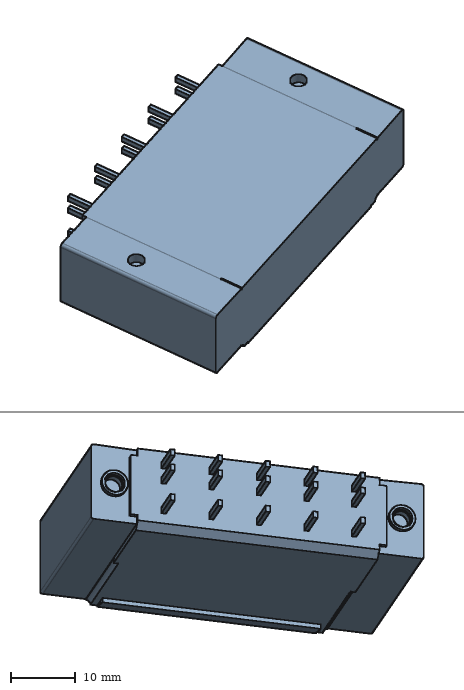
import cadquery as cq


body_length = 29.2
body_half_width = 19.35
body_top = 12.55
body_bottom = -0.85
pin_face_chamfer = 1.2

part_half_width = 26.65
ear_setback = 0.7
ear_top = 12.7
ear_top_fillet = 0.5
ear_bottom_fillet = 0.4

shoulder_half_width = 20.55
shoulder_bottom = 1.25
shoulder_top = 11.3
shoulder_fillet = 0.25

boss_center_y = 23.05
boss_center_z = 6.3
boss_diameter = 4.15
boss_mouth_diameter = 3.2
boss_mouth_depth = 0.7
boss_bore_diameter = 2.65
boss_bore_depth = 2.0
top_hole_x = 12.25
top_hole_diameter = 2.6
top_hole_depth = 1.85

pin_length = 5.05
pin_width = 0.7
pin_height = 1.0
pin_pitch_y = 7.65
pin_columns = 5
pin_row_heights = (2.5, 7.6, 10.15)

latch_length = 2.95
latch_half_width = 17.5
latch_tip = -1.6
latch_heel = -1.05

rail_start = 13.6
rail_radius = 0.75

slot_length = 3.85
slot_width = 0.2
slot_depth = 0.25


def block(x_range, y_range, z_range):
    """Box spanning the given ranges."""
    (x0, x1), (y0, y1), (z0, z1) = x_range, y_range, z_range
    return cq.Workplane("XY").box(x1 - x0, y1 - y0, z1 - z0, centered=False).translate((x0, y0, z0))


def make_body():
    profile = [
        (0, body_top),
        (body_length, body_top),
        (body_length, body_bottom),
        (pin_face_chamfer, body_bottom),
        (0, body_bottom + pin_face_chamfer),
    ]
    return cq.Workplane("XZ").polyline(profile).close().extrude(body_half_width, both=True)


def make_ear():
    """Ear on the +Y side; its top falls slightly from the outer edge to the body."""
    profile = [
        (body_half_width, 0),
        (part_half_width, 0),
        (part_half_width, ear_top),
        (body_half_width, body_top),
    ]
    ear = (
        cq.Workplane("YZ", origin=(ear_setback, 0, 0))
        .polyline(profile)
        .close()
        .extrude(body_length - ear_setback)
    )
    ear = ear.edges("|X and >Y and >Z").fillet(ear_top_fillet)
    return ear.edges("|X and >Y and <Z").fillet(ear_bottom_fillet)


def make_shoulder():
    """Strip on the +Y side that widens the pin face."""
    strip = block(
        (0, ear_setback), (body_half_width, shoulder_half_width), (shoulder_bottom, shoulder_top)
    )
    return strip.edges("|X and >Y and >Z").fillet(shoulder_fillet)


def boss_cylinder(diameter, depth):
    """Cylinder running along +X from the boss face."""
    return (
        cq.Workplane("YZ", origin=(0, boss_center_y, boss_center_z))
        .circle(diameter / 2)
        .extrude(depth)
    )


def make_top_hole():
    return (
        cq.Workplane("XY", origin=(top_hole_x, boss_center_y, ear_top))
        .circle(top_hole_diameter / 2)
        .extrude(-top_hole_depth)
    )


def make_rail_cut():
    return (
        cq.Workplane("YZ", origin=(rail_start, body_half_width, body_bottom))
        .circle(rail_radius)
        .extrude(body_length - rail_start)
    )


def make_slot():
    return block(
        (body_length - slot_length, body_length),
        (body_half_width - slot_width, body_half_width),
        (body_top - slot_depth, ear_top),
    )


def make_latch():
    latch_front = body_length - latch_length
    profile = [
        (latch_front, body_bottom),
        (latch_front, latch_tip),
        (body_length, latch_heel),
        (body_length, body_bottom),
    ]
    return cq.Workplane("XZ").polyline(profile).close().extrude(latch_half_width, both=True)


def make_pin(y, z):
    return block(
        (-pin_length, 0),
        (y - pin_width / 2, y + pin_width / 2),
        (z - pin_height / 2, z + pin_height / 2),
    )


def make_end():
    """Everything on the +Y side of the body, with its holes."""
    end = make_ear().union(make_shoulder()).union(boss_cylinder(boss_diameter, ear_setback))
    end = end.cut(boss_cylinder(boss_mouth_diameter, boss_mouth_depth))
    end = end.cut(boss_cylinder(boss_bore_diameter, boss_bore_depth))
    return end.cut(make_top_hole())


body = make_body()
for cutter in (make_rail_cut(), make_slot()):
    body = body.cut(cutter).cut(cutter.mirror("XZ"))

end = make_end()
result = body.union(end).union(end.mirror("XZ")).union(make_latch())

for column in range(pin_columns):
    pin_y = (column - (pin_columns - 1) / 2) * pin_pitch_y
    for pin_z in pin_row_heights:
        result = result.union(make_pin(pin_y, pin_z))